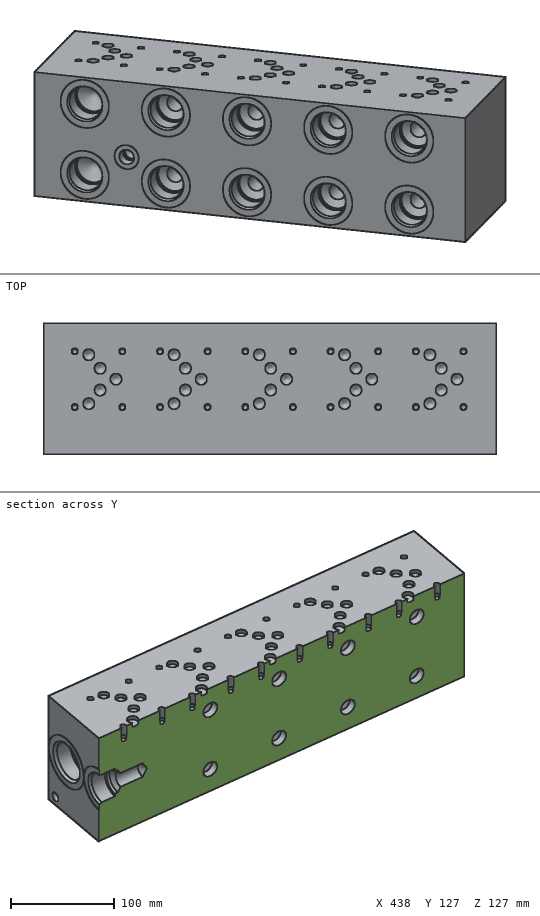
import cadquery as cq
import math

LENGTH, DEPTH, HEIGHT = 438.0, 127.0, 127.0

DRILL_POINT_ANGLE = 118.0

STATIONS = 5
FIRST_STATION_X = 51.3
LAST_STATION_X = 381.0
STATION_PITCH = (LAST_STATION_X - FIRST_STATION_X) / (STATIONS - 1)

PORT_ROW_INSET = 27.0
GAUGE_X, GAUGE_Z = 93.8, 50.0

WORK_PORT = ((49.0, 36.0, 33.5, 31.0), (21.0, 24.5))
SUPPLY_PORT = ((49.0, 36.0, 33.5, 27.0), (19.3, 23.0))
RETURN_PORT = ((57.5, 44.0, 39.5, 36.0), (19.3, 23.0))
GAUGE_PORT = ((24.5, 15.0, 14.0, 12.3), (11.5, 15.0))
SPOTFACE_DEPTH = 0.5
TAPER_DEPTH = 3.5
PASSAGE_DIAMETER, PASSAGE_DEPTH = 16.0, 52.5

SUPPLY_Y, RETURN_Y = 44.5, 98.0
MOUNT_INSET_Y, MOUNT_Z = 11.5, 10.0
MOUNT_THREAD, MOUNT_DRILL = 9.5, 8.0
MOUNT_THREAD_DEPTH, MOUNT_DRILL_DEPTH = 15.0, 18.5

PATTERN_Y = 72.7
BOLT_SPAN_X, BOLT_SPAN_Y = 46.0, 54.0
FIRST_BOLT_X = 30.2
BOLT_THREAD, BOLT_DRILL = 6.0, 5.3
BOLT_THREAD_DEPTH, BOLT_DRILL_DEPTH = 13.0, 16.5
VALVE_PORT_DIAMETER, VALVE_PORT_DEPTH = 11.0, 4.5
PRESSURE_OFFSET = (40.0, 0.0)
WORK_OFFSET = (24.5, 10.5)
TANK_OFFSET = (13.5, 23.5)


def drilled_bore(profile):
    """Revolved bore along +Z from (radius, depth) pairs, ending in a drill point."""
    end_radius, end_depth = profile[-1]
    tip = end_depth + end_radius / math.tan(math.radians(DRILL_POINT_ANGLE / 2))
    points = [(0, 0)] + profile + [(0, tip)]
    return cq.Workplane("XZ").polyline(points).close().revolve(360, (0, 0, 0), (0, 1, 0))


def stepped_bore(*steps):
    """Bore of coaxial (diameter, depth) steps, the widest first."""
    profile = []
    start = 0.0
    for diameter, depth in steps:
        profile += [(diameter / 2, start), (diameter / 2, depth)]
        start = depth
    return drilled_bore(profile)


def threaded_port(diameters, bore_depths):
    """Spotfaced port with a tapered O-ring seat above two coaxial bores."""
    spotface, mouth, main, inner = (diameter / 2 for diameter in diameters)
    main_depth, inner_depth = bore_depths
    return drilled_bore([
        (spotface, 0),
        (spotface, SPOTFACE_DEPTH),
        (mouth, SPOTFACE_DEPTH),
        (main, TAPER_DEPTH),
        (main, main_depth),
        (inner, main_depth),
        (inner, inner_depth),
    ])


def from_front(bore, x, z):
    """Turn a bore to enter the front face (Y = 0)."""
    return bore.rotate((0, 0, 0), (1, 0, 0), -90).translate((x, 0, z))


def from_end(bore, y, z):
    """Turn a bore to enter the end face (X = 0)."""
    return bore.rotate((0, 0, 0), (0, 1, 0), 90).translate((0, y, z))


def from_top(bore, x, y):
    """Turn a bore to enter the top face."""
    return bore.rotate((0, 0, 0), (1, 0, 0), 180).translate((x, y, HEIGHT))


body = cq.Workplane("XY").box(LENGTH, DEPTH, HEIGHT, centered=False)

work_port = threaded_port(*WORK_PORT)
passage = stepped_bore((PASSAGE_DIAMETER, PASSAGE_DEPTH))
for station in range(STATIONS):
    port_x = FIRST_STATION_X + station * STATION_PITCH
    for z in (PORT_ROW_INSET, HEIGHT - PORT_ROW_INSET):
        body = body.cut(from_front(work_port, port_x, z))
        if station > 0:
            body = body.cut(from_front(passage, port_x, z))
body = body.cut(from_front(threaded_port(*GAUGE_PORT), GAUGE_X, GAUGE_Z))

body = body.cut(from_end(threaded_port(*SUPPLY_PORT), SUPPLY_Y, HEIGHT / 2))
body = body.cut(from_end(passage, SUPPLY_Y, HEIGHT / 2))
body = body.cut(from_end(threaded_port(*RETURN_PORT), RETURN_Y, HEIGHT / 2))
mount_hole = stepped_bore((MOUNT_THREAD, MOUNT_THREAD_DEPTH), (MOUNT_DRILL, MOUNT_DRILL_DEPTH))
for y in (MOUNT_INSET_Y, DEPTH - MOUNT_INSET_Y):
    body = body.cut(from_end(mount_hole, y, MOUNT_Z))

bolt_hole = stepped_bore((BOLT_THREAD, BOLT_THREAD_DEPTH), (BOLT_DRILL, BOLT_DRILL_DEPTH))
valve_port = stepped_bore((VALVE_PORT_DIAMETER, VALVE_PORT_DEPTH))
for station in range(STATIONS):
    bolt_x = FIRST_BOLT_X + station * STATION_PITCH
    for x in (bolt_x, bolt_x + BOLT_SPAN_X):
        for side in (-1, 1):
            body = body.cut(from_top(bolt_hole, x, PATTERN_Y + side * BOLT_SPAN_Y / 2))
    body = body.cut(from_top(valve_port, bolt_x + PRESSURE_OFFSET[0], PATTERN_Y))
    for offset_x, offset_y in (WORK_OFFSET, TANK_OFFSET):
        for side in (-1, 1):
            body = body.cut(from_top(valve_port, bolt_x + offset_x, PATTERN_Y + side * offset_y))

result = body